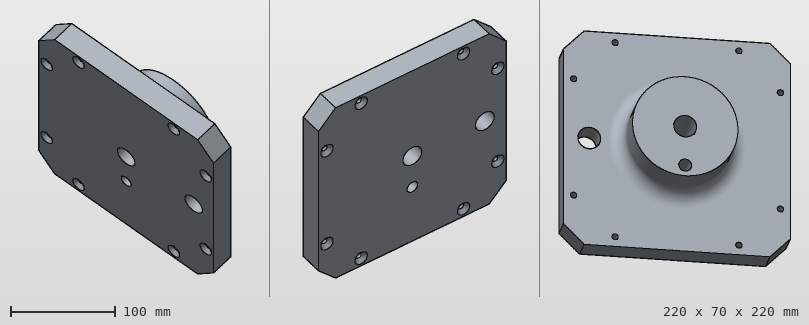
import cadquery as cq

plate_side = 220.0
plate_thickness = 25.0
corner_chamfer = 20.0
total_depth = 70.0
boss_diameter = 102.0
boss_fillet = 15.0
seam_margin = 0.2

large_hole_diameter = 22.0
side_hole_x = 85.0
small_hole_diameter = 12.3
small_hole_z = -40.0

screw_hole_diameter = 6.0
countersink_diameter = 14.5
countersink_angle = 90
screw_edge_distance = 10.0
screw_spacing = 120.0

screw_row = plate_side / 2 - screw_edge_distance
screw_offset = screw_spacing / 2


def make_body():
    """Plate with cut corners and a boss blended into its back face."""
    plate = (
        cq.Workplane("XZ")
        .rect(plate_side, plate_side)
        .extrude(-plate_thickness)
        .edges("|Y")
        .chamfer(corner_chamfer)
    )
    boss = cq.Workplane("XZ").circle(boss_diameter / 2).extrude(-total_depth)
    seam = cq.selectors.BoxSelector(
        (-boss_diameter, plate_thickness - seam_margin, -boss_diameter),
        (boss_diameter, plate_thickness + seam_margin, boss_diameter),
        boundingbox=True,
    )
    return plate.union(boss).edges(seam).edges("%CIRCLE").fillet(boss_fillet)


def drill(body, points, diameter):
    """Drill holes right through the part from the front face."""
    drills = cq.Workplane("XZ").pushPoints(points).circle(diameter / 2).extrude(-total_depth)
    return body.cut(drills)


def countersink_screws(body):
    """Countersink the screw holes from the front face."""
    points = []
    for side in (-1, 1):
        for end in (-1, 1):
            points.append((side * screw_row, end * screw_offset))
            points.append((end * screw_offset, side * screw_row))
    return (
        body.faces("<Y")
        .workplane(origin=(0, 0, 0))
        .pushPoints(points)
        .cskHole(screw_hole_diameter, countersink_diameter, countersink_angle)
    )


result = make_body()
result = drill(result, [(0, 0), (side_hole_x, 0)], large_hole_diameter)
result = drill(result, [(0, small_hole_z)], small_hole_diameter)
result = countersink_screws(result)